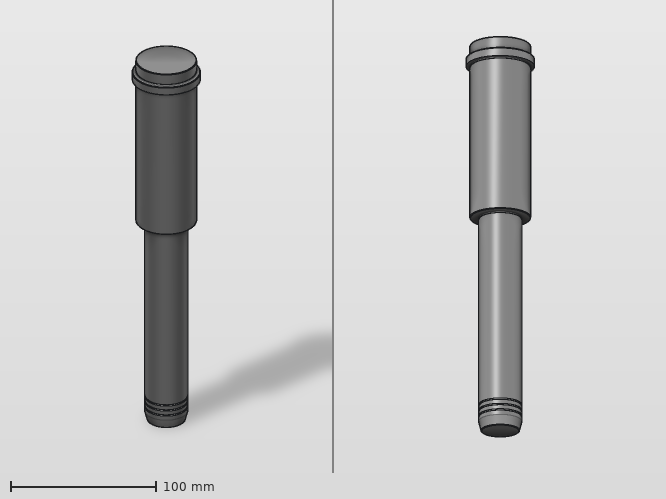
import cadquery as cq

length = 280.0
head_diameter = 42.0
collar_diameter = 47.0
shank_diameter = 30.0
tip_diameter = 26.3

shank_length = 154.8
collar_height = 6.0
cap_height = 9.0
tip_height = 7.0

edge_break = 0.5

groove_radius = 0.5
ring_pitch = 4.0
ring_count = 3
first_ring_height = 10.5

collar_top = length - cap_height
collar_base = collar_top - collar_height


def cylinder(diameter, base, top):
    """Solid cylinder on the Z axis between two heights."""
    return cq.Workplane("XY").workplane(offset=base).circle(diameter / 2).extrude(top - base)


def groove(diameter, height):
    """Ring-shaped cutter, half sunk into a cylinder, centred at the given height."""
    radius = diameter / 2
    return (
        cq.Workplane("XZ")
        .moveTo(radius, height - groove_radius)
        .threePointArc((radius - groove_radius, height), (radius, height + groove_radius))
        .close()
        .revolve(360, (0, 0), (0, 1))
    )


tip = (
    cq.Workplane("XZ")
    .polyline([(0, 0), (tip_diameter / 2, 0), (shank_diameter / 2, tip_height), (0, tip_height)])
    .close()
    .revolve(360, (0, 0), (0, 1))
    .faces("<Z")
    .chamfer(edge_break)
)

shank = cylinder(shank_diameter, tip_height, shank_length)
head = cylinder(head_diameter, shank_length, length).faces("<Z or >Z").chamfer(edge_break)
collar = cylinder(collar_diameter, collar_base, collar_top).faces(">Z").chamfer(edge_break)
result = tip.union(shank).union(head).union(collar)

result = result.cut(groove(head_diameter, collar_top + groove_radius))
result = result.cut(groove(head_diameter, collar_base - groove_radius))
result = result.cut(groove(shank_diameter, shank_length - groove_radius))

for index in range(ring_count):
    result = result.cut(groove(shank_diameter, first_ring_height + index * ring_pitch))